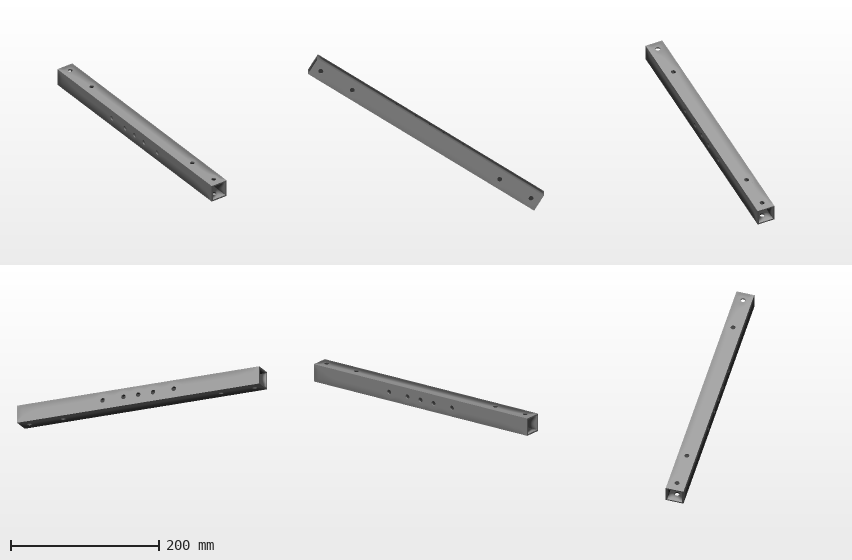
import cadquery as cq

length = 360.0
width = 25.0
wall = 2.0
bore = width - 2 * wall

hole_diameter = 6.5
inner_side_offset = 22.0
outer_side_offset = 53.0
end_margin = 12.5
end_pair_spacing = 50.0
outer_top_offset = length / 2 - end_margin
inner_top_offset = outer_top_offset - end_pair_spacing


def mirrored(*offsets):
    """Points on the X axis at plus and minus each offset."""
    return [(sign * offset, 0) for offset in offsets for sign in (-1, 1)]


def cross_pins(plane, points):
    """Hole-sized cylinders spanning the whole tube width, normal to the plane."""
    return cq.Workplane(plane).pushPoints(points).circle(hole_diameter / 2).extrude(width, both=True)


tube = cq.Workplane("YZ").rect(width, width).rect(bore, bore).extrude(length / 2, both=True)

side_points = [(0, 0)] + mirrored(inner_side_offset, outer_side_offset)
side_holes = cross_pins("XZ", side_points)
top_holes = cross_pins("XY", mirrored(inner_top_offset, outer_top_offset))

result = tube.cut(side_holes).cut(top_holes)